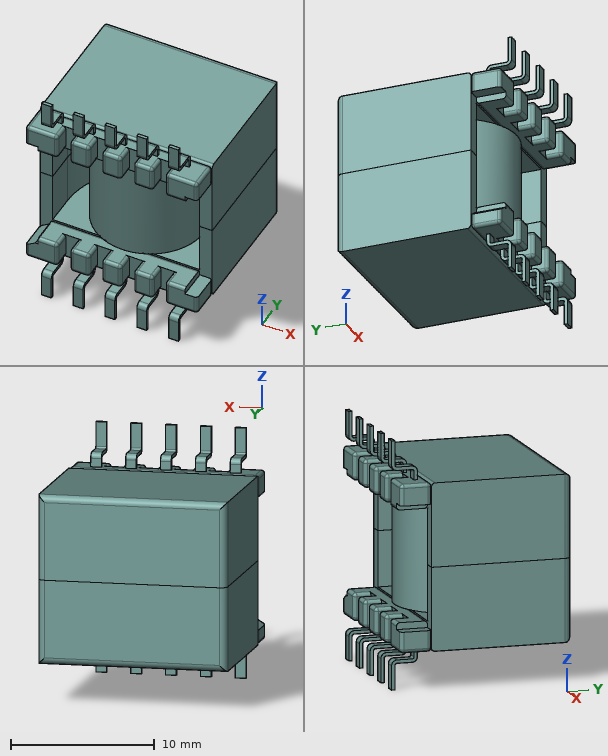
import cadquery as cq

width = 13.45
overall_depth = 12.7
overall_height = 17.75

core_depth = 10.2
core_height = 12.0
core_floor = 1.99
core_back_fillet = 0.5
core_front_fillet = 0.25
window_width = 11.5
window_straight = 2.25

drum_diameter = 8.5
drum_overhang = 0.59

rail_depth = 2.25
rail_bar_depth = 1.0
rail_fillet = 0.25
end_step = 0.48
end_mark = 0.48
end_flat = 0.2
block_width = 1.5

pin_count = 5
pin_pitch = 2.48
pin_width = 0.76
pin_thickness = 0.25
pin_root_y = -0.85
pin_rise = 0.75
pin_root_bend = 0.15
pin_tip_bend = 0.15

half_width = width / 2
half_window = window_width / 2
rail_outer_z = core_height / 2
rail_inner_z = rail_outer_z - core_floor
drum_radius = drum_diameter / 2
drum_axis_y = drum_radius - drum_overhang
pin_face_y = core_depth - overall_depth
pin_xs = [(i - (pin_count - 1) / 2) * pin_pitch for i in range(pin_count)]


def box(x0, x1, y0, y1, z0, z1):
    """Box between two opposite corners."""
    return cq.Workplane("XY").box(x1 - x0, y1 - y0, z1 - z0, centered=False).translate((x0, y0, z0))


def mirrored_in_z(shape):
    """Mirror image across the seam plane Z = 0."""
    return shape.mirror("XY")


def make_upper_core():
    block = box(-half_width, half_width, 0, core_depth, 0, rail_outer_z)
    block = block.edges("(>Y and |Z) or (>Y and >Z)").fillet(core_back_fillet)
    block = block.edges("<Y and >Z").fillet(core_front_fillet)
    window = (
        cq.Workplane("XY")
        .moveTo(-half_window, 0)
        .lineTo(half_window, 0)
        .lineTo(half_window, window_straight)
        .threePointArc((0, window_straight + half_window), (-half_window, window_straight))
        .close()
        .extrude(rail_inner_z)
    )
    return block.cut(window)


def make_drum():
    drum = cq.Workplane("XY").circle(drum_radius).extrude(2 * rail_inner_z)
    return drum.translate((0, drum_axis_y, -rail_inner_z))


def make_upper_rail():
    """Bar with one rounded block at each pin; the outermost blocks reach the rail ends."""
    bar = box(-half_width, half_width, -rail_bar_depth, 0, rail_inner_z, rail_outer_z)
    rail = bar.edges("not <Y").fillet(rail_fillet)
    block_back_y = -rail_bar_depth / 2
    for x in pin_xs:
        left = -half_width if x == pin_xs[0] else x - block_width / 2
        right = half_width if x == pin_xs[-1] else x + block_width / 2
        block = box(left, right, -rail_depth, block_back_y, rail_inner_z, rail_outer_z)
        rail = rail.union(block.edges("not >Y").fillet(rail_fillet))
    return rail


def end_relief(side, mark=0.0):
    """Cutter for the step at one upper rail end (side is -1 or +1), level at first, then falling by mark."""
    step_z = rail_inner_z + end_step
    return (
        cq.Workplane("XZ")
        .moveTo(side * half_window, rail_inner_z)
        .lineTo(side * half_width, rail_inner_z)
        .lineTo(side * half_width, step_z + mark)
        .lineTo(side * (half_window + end_flat), step_z)
        .lineTo(side * half_window, step_z)
        .close()
        .extrude(rail_depth)
    )


def make_upper_pin(x):
    """Z-shaped flat pin, rooted inside the rail."""
    root_z = (rail_inner_z + rail_outer_z) / 2
    cross_z = rail_outer_z + pin_rise
    tip_z = overall_height / 2
    root_outer = pin_root_bend + pin_thickness
    tip_outer = pin_tip_bend + pin_thickness
    pin = (
        cq.Workplane("YZ")
        .moveTo(pin_root_y, root_z)
        .lineTo(pin_root_y, cross_z - pin_root_bend)
        .tangentArcPoint((-pin_root_bend, pin_root_bend))
        .lineTo(pin_face_y + tip_outer, cross_z)
        .radiusArc((pin_face_y, cross_z + tip_outer), tip_outer)
        .lineTo(pin_face_y, tip_z)
        .lineTo(pin_face_y + pin_thickness, tip_z)
        .lineTo(pin_face_y + pin_thickness, cross_z + tip_outer)
        .radiusArc((pin_face_y + tip_outer, cross_z + pin_thickness), -pin_tip_bend)
        .lineTo(pin_root_y - pin_root_bend, cross_z + pin_thickness)
        .radiusArc((pin_root_y + pin_thickness, cross_z - pin_root_bend), root_outer)
        .lineTo(pin_root_y + pin_thickness, root_z)
        .close()
        .extrude(pin_width)
    )
    return pin.translate((x - pin_width / 2, 0, 0))


def make_bobbin():
    plain_rail = make_upper_rail().cut(end_relief(1))
    upper_rail = plain_rail.cut(end_relief(-1))
    lower_rail = mirrored_in_z(plain_rail.cut(end_relief(-1, end_mark)))
    bobbin = make_drum().union(upper_rail).union(lower_rail)
    for x in pin_xs:
        pin = make_upper_pin(x)
        bobbin = bobbin.union(pin).union(mirrored_in_z(pin))
    return bobbin


upper_core = make_upper_core()
lower_core = mirrored_in_z(upper_core)
bobbin = make_bobbin()

result = cq.Compound.makeCompound([upper_core.val(), lower_core.val(), bobbin.val()])